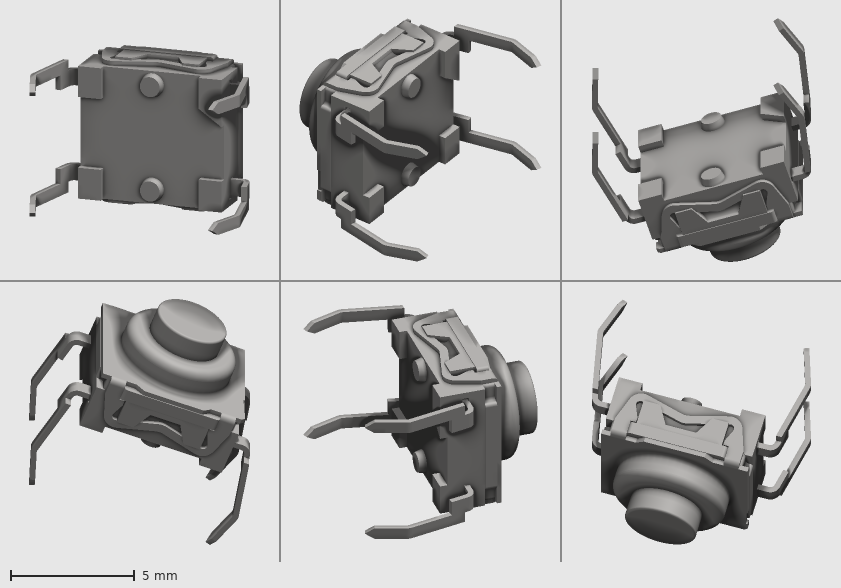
import cadquery as cq
import math


half_width = 3.09
half_depth = 2.79
base_level = 0.31
band_bottom = 1.93
band_top = 2.43
foot_inner_x = 2.1
foot_inner_z = 1.49
key_foot_z = 0.8
peg_root_radius = 0.5
peg_tip_radius = 0.42
peg_z = 2.2

band_reach = 3.126
side_bar_half_length = 2.05
band_core_half_width = 2.81
front_bar_half_length = 2.06
band_round = 0.14

sheet = 0.2
cover_top = band_top + sheet
clip_face = half_depth + sheet
clip_half_width = 2.7
clip_bend_radius = 0.25
clip_outer_corner = (2.21, 0.4)
clip_outer_corner_round = 0.56
clip_outer_peak = (0, 1.005)
clip_inner_corner = (2.19, 0.78)
clip_inner_corner_round = 0.18
clip_inner_peak = (0, 1.36)
clip_peak_round = 0.7
clip_taper_start = 1.875
clip_window_neck_half_width = 1.84
clip_window_neck = (1.62, 1.83)
cover_lip_z = half_width
lip_half_length = 1.28
lip_slope_end = 1.615
edge_notch_depth = 0.07
edge_notch_start = -2.2
edge_notch_end = -1.19

latch_half_width = 1.79
latch_bottom = 0.86
latch_face = 3.09
latch_notch_bottom_half = 1.09
latch_notch_top_half = 0.65
latch_notch_top = 1.66
latch_wall_foot = (1.615, 2.92)
latch_floor_start = 1.38

button_radius = 1.5
button_top = 4.73
button_round = 0.1
cap_radius = 2.36
cap_top = 3.76
cap_round = 0.395
cap_flare = 0.18

lead_half_span = 4.485
lead_thickness = 0.23
lead_level = 1.265
bend_outer_radius = 0.43
elbow_x = 3.53
kink_y = -1.75
tip_splay = math.radians(18.4)
tip_leg_length = 1.695
tip_point_length = 0.395
lead_embed = 0.36
tab_z = (1.66, 2.34)
leg_z = (2.29, half_depth)
leg_start = 0.76
tab_end = 0.17
slot_end_z = 2.52
slot_y = (0.96, 1.24)
slot_depth = 0.2

edge_margin = 0.01


def block(x_range, y_range, z_range):
    """Axis-aligned box between the given limits."""
    sizes = [high - low for low, high in (x_range, y_range, z_range)]
    return cq.Workplane("XY").box(*sizes, centered=False).translate((x_range[0], y_range[0], z_range[0]))


def centred(half_x, y_range, half_z):
    """Box centred on the Y axis."""
    return block((-half_x, half_x), y_range, (-half_z, half_z))


def along_y(start):
    """Sketch plane at Y = start: local X is +X, local Y is -Z, and it extrudes along +Y."""
    return cq.Workplane(cq.Plane(origin=(0, start, 0), xDir=(1, 0, 0), normal=(0, 1, 0)))


def both_ends(shape):
    """The shape together with its copy at the opposite Z end."""
    return shape.union(shape.mirror("XY"))


def all_corners(shape):
    """The shape repeated at the four corners."""
    return both_ends(shape.union(shape.mirror("YZ")))


def edges_between(shape, low, high):
    """The edges of a shape whose middles lie in the box from low to high."""
    return shape.edges(cq.selectors.BoxSelector(low, high))


def make_housing():
    body = centred(half_width, (base_level, band_bottom), half_depth)
    foot = block((foot_inner_x, half_width), (0, base_level), (foot_inner_z, half_depth))
    body = body.union(all_corners(foot))
    key = (
        along_y(0)
        .polyline([(foot_inner_x, -foot_inner_z), (half_width, -foot_inner_z), (half_width, -key_foot_z)])
        .close()
        .extrude(base_level)
    )
    peg = cq.Workplane("XY").polyline(
        [(0, 0), (peg_tip_radius, 0), (peg_root_radius, base_level), (0, base_level)]
    ).close().revolve(360, (0, 0), (0, 1)).translate((0, 0, peg_z))
    return body.union(key).union(both_ends(peg))


def make_band():
    heights = (band_bottom, band_top)
    side_bar = centred(band_reach, heights, side_bar_half_length)
    core = centred(band_core_half_width, heights, half_depth).edges("|Y").fillet(band_round)
    front_bar = centred(front_bar_half_length, heights, band_reach).edges("|Y").fillet(band_round)
    plus = side_bar.union(core)
    reach_x = band_reach + edge_margin
    reach_z = side_bar_half_length + edge_margin
    steps = edges_between(plus, (-reach_x, 0, -reach_z), (reach_x, cover_top, reach_z)).edges("|Y")
    return steps.fillet(band_round).union(front_bar)


def make_cover():
    plate = centred(half_width, (band_top, cover_top), half_depth)
    lip = (
        along_y(band_top)
        .polyline([
            (-lip_slope_end, half_depth), (-lip_half_length, cover_lip_z),
            (lip_half_length, cover_lip_z), (lip_slope_end, half_depth),
        ])
        .close()
        .extrude(sheet)
    )
    edge_notch = block(
        (-half_width, -half_width + edge_notch_depth),
        (band_top, cover_top),
        (edge_notch_start, edge_notch_end),
    )
    plate = plate.edges("|Y and <X and <Z").chamfer(band_round)
    return plate.cut(edge_notch).union(both_ends(lip))


def symmetric_prism(points, start, height):
    """Prism along Z from the right half of an outline that is symmetric about X = 0."""
    left = [(-x, y) for x, y in reversed(points) if x > 0]
    return cq.Workplane("XY", origin=(0, 0, start)).polyline(points + left).close().extrude(height)


def round_at(shape, corner, radius):
    """Fillet the Z edges of a clip prism at a corner and at its mirror image."""
    x, y = corner
    for side in {x, -x}:
        low = (side - edge_margin, y - edge_margin, 0)
        high = (side + edge_margin, y + edge_margin, 2 * half_depth)
        shape = edges_between(shape, low, high).fillet(radius)
    return shape


def make_clip():
    """Downturned loop at the +Z end that hooks around the latch block."""
    clip = symmetric_prism(
        [
            clip_outer_peak,
            clip_outer_corner,
            (clip_half_width, clip_taper_start),
            (clip_half_width, cover_top),
        ],
        half_depth, sheet,
    )
    clip = round_at(clip, clip_outer_corner, clip_outer_corner_round)
    clip = round_at(clip, clip_outer_peak, clip_peak_round)

    neck_bottom, neck_top = clip_window_neck
    window = symmetric_prism(
        [
            clip_inner_peak,
            clip_inner_corner,
            (clip_window_neck_half_width, neck_bottom),
            (clip_window_neck_half_width, neck_top),
            (front_bar_half_length, neck_top),
            (front_bar_half_length, cover_top),
        ],
        half_depth, sheet,
    )
    window = round_at(window, clip_inner_corner, clip_inner_corner_round)
    window = round_at(window, clip_inner_peak, clip_peak_round)
    return clip.cut(window)


def make_sheet_metal():
    """Cover and clips as one bent sheet, rounded where the clips turn down."""
    bend_y = cover_top - clip_bend_radius
    bend_z = clip_face - clip_bend_radius
    arm_width = clip_half_width - front_bar_half_length
    bend_waste = (
        cq.Workplane("YZ", origin=(front_bar_half_length, 0, 0))
        .moveTo(cover_top, bend_z)
        .lineTo(cover_top, clip_face)
        .lineTo(bend_y, clip_face)
        .radiusArc((cover_top, bend_z), clip_bend_radius)
        .close()
        .extrude(arm_width)
    )
    bent = make_cover().union(both_ends(make_clip()))
    return bent.cut(all_corners(bend_waste))


def make_latch():
    latch = block((-latch_half_width, latch_half_width), (latch_bottom, band_bottom), (half_depth, latch_face))
    trapezoid = symmetric_prism(
        [(latch_notch_bottom_half, latch_bottom), (latch_notch_top_half, latch_notch_top)],
        half_depth, latch_face - half_depth,
    )
    scoop = (
        cq.Workplane("YZ", origin=(-latch_notch_bottom_half, 0, 0))
        .moveTo(latch_bottom, half_depth)
        .lineTo(latch_floor_start, half_depth)
        .tangentArcPoint(latch_wall_foot, relative=False)
        .lineTo(latch_notch_top, latch_face)
        .lineTo(latch_bottom, latch_face)
        .close()
        .extrude(2 * latch_notch_bottom_half)
    )
    return latch.cut(trapezoid.intersect(scoop))


def make_button():
    cap = along_y(band_top).circle(cap_radius).extrude(cap_top - band_top).faces(">Y").edges().fillet(cap_round)
    flare = (
        cq.Workplane("XY")
        .moveTo(0, cover_top)
        .lineTo(cap_radius + cap_flare, cover_top)
        .radiusArc((cap_radius, cover_top + cap_flare), cap_flare)
        .lineTo(0, cover_top + cap_flare)
        .close()
        .revolve(360, (0, 0), (0, 1))
    )
    button = along_y(band_top).circle(button_radius).extrude(button_top - band_top)
    return cap.union(flare).union(button.faces(">Y").edges().fillet(button_round))


elbow = (elbow_x, lead_level - bend_outer_radius)
kink = (lead_half_span - bend_outer_radius, kink_y)
lean = math.atan2(kink[0] - elbow[0], elbow[1] - kink[1])


def polar(centre, radius, angle):
    """Point at the given radius and angle from a centre."""
    return (centre[0] + radius * math.cos(angle), centre[1] + radius * math.sin(angle))


def lead_end(radius):
    """End of the splayed leg on the face that bends at the given radius."""
    x, y = polar(kink, radius, -tip_splay)
    return (x - tip_leg_length * math.sin(tip_splay), y - tip_leg_length * math.cos(tip_splay))


def sheet_plane(origin, down_angle):
    """Plane lying in the lead: local X runs down the lead, local Y along +Z."""
    down = (math.sin(down_angle), -math.cos(down_angle), 0)
    inward = (down[1], -down[0], 0)
    return cq.Workplane(cq.Plane(origin=(*origin, 0), xDir=down, normal=inward))


def make_lead():
    """Right-hand lead at the +Z end."""
    outer = bend_outer_radius
    inner = outer - lead_thickness
    root_x = half_width - lead_embed
    middle = (math.pi / 2 + lean) / 2
    strip = (
        cq.Workplane("XY", origin=(0, 0, tab_z[0]))
        .moveTo(root_x, lead_level)
        .lineTo(elbow[0], lead_level)
        .threePointArc(polar(elbow, outer, middle), polar(elbow, outer, lean))
        .lineTo(*polar(kink, outer, lean))
        .threePointArc(polar(kink, outer, 0), polar(kink, outer, -tip_splay))
        .lineTo(*lead_end(outer))
        .lineTo(*lead_end(inner))
        .lineTo(*polar(kink, inner, -tip_splay))
        .threePointArc(polar(kink, inner, 0), polar(kink, inner, lean))
        .lineTo(*polar(elbow, inner, lean))
        .threePointArc(polar(elbow, inner, middle), (elbow[0], lead_level - lead_thickness))
        .lineTo(root_x, lead_level - lead_thickness)
        .close()
        .extrude(leg_z[1] - tab_z[0])
    )
    beside_root = block((root_x, lead_half_span), (leg_start, lead_level), (tab_z[1], leg_z[1]))

    tab_corner = polar(elbow, outer, lean)
    tab_length = (tab_corner[1] - tab_end) / math.cos(lean)
    beside_leg = (
        sheet_plane(tab_corner, lean)
        .moveTo(tab_length, tab_z[0])
        .rect(lead_half_span, leg_z[0] - tab_z[0], centered=False)
        .extrude(lead_half_span, both=True)
    )

    tip_middle = sum(leg_z) / 2
    tip_plane = sheet_plane(lead_end(outer), -tip_splay)
    strip = strip.cut(beside_root).cut(beside_leg)
    for edge in leg_z:
        corner = tip_plane.polyline([(-tip_point_length, edge), (0, tip_middle), (0, edge)]).close()
        strip = strip.cut(corner.extrude(outer, both=True))
    return strip


def make_lead_slot():
    """Open end of the housing slot beside the right-hand lead at the +Z end."""
    return block((half_width - slot_depth, half_width), slot_y, (tab_z[1], slot_end_z))


result = (
    make_housing()
    .cut(all_corners(make_lead_slot()))
    .union(make_band())
    .union(make_sheet_metal())
    .union(both_ends(make_latch()))
    .union(make_button())
    .union(all_corners(make_lead()))
)